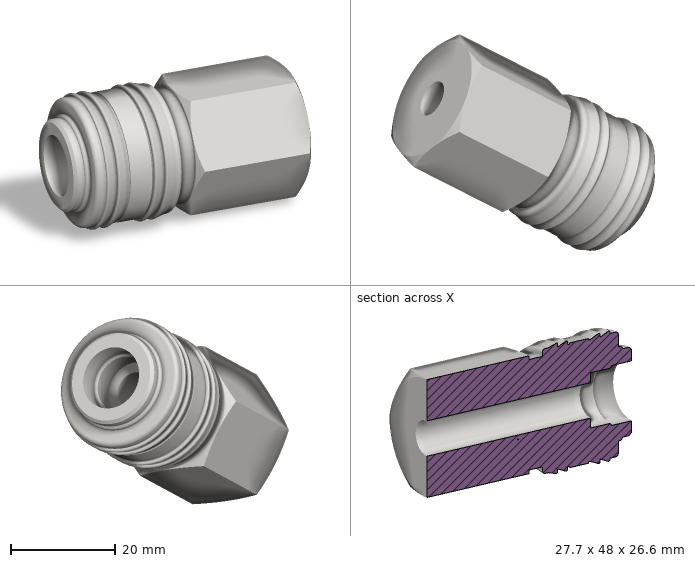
import cadquery as cq
import math

LENGTH = 48.0

HEX_FLATS = 24.0
HEX_LENGTH = 24.0
HEX_CHAMFER_ANGLE = 30.0
NECK_RADIUS = 11.3

NOSE_RADIUS = 9.0
NOSE_LENGTH = 2.1
NOSE_CHAMFER = 0.6
COLLAR_RADIUS = 9.6
COLLAR_ROUND = 0.6

SLEEVE_START = 3.0
SLEEVE_END = 21.0
SLEEVE_RADIUS = 12.7
SLEEVE_ROUND = 0.75

RIDGE_RADIUS = 13.3
RIDGE_ROOT_RADIUS = 12.45
RIDGE_PITCH = 2.3
RIDGE_CREST_ROUND = 0.35
FRONT_PAIR_START = 5.05
REAR_PAIR_START = 15.0
GROOVE_WIDTH = 0.45

PLUG_RADIUS = 6.05
PLUG_DEPTH = 4.6
INNER_PLUG_RADIUS = 5.55
SEAT_LENGTH = 0.45
INNER_PLUG_DEPTH = 9.6
THROUGH_RADIUS = 3.55


def revolve_about_y(profile):
    """Close a radius/Y outline and spin it round the Y axis."""
    return profile.close().revolve(360, (0, 0, 0), (0, 1, 0))


def cylinder(radius, start, end):
    plane = cq.Plane(origin=(0, start, 0), xDir=(1, 0, 0), normal=(0, 1, 0))
    return cq.Workplane(plane).circle(radius).extrude(end - start)


def ridge(start, tail_radius):
    """Ring with a flat front face, a rounded crest and a tapered tail."""
    end = start + RIDGE_PITCH
    return revolve_about_y(
        cq.Workplane("XY")
        .moveTo(0, start)
        .lineTo(RIDGE_RADIUS - RIDGE_CREST_ROUND, start)
        .radiusArc((RIDGE_RADIUS, start + RIDGE_CREST_ROUND), -RIDGE_CREST_ROUND)
        .lineTo(tail_radius, end)
        .lineTo(0, end)
    )


def make_nose():
    nose = cylinder(NOSE_RADIUS, 0, SLEEVE_START).faces("<Y").chamfer(NOSE_CHAMFER)
    collar = cylinder(COLLAR_RADIUS, NOSE_LENGTH, SLEEVE_START)
    return nose.union(collar.faces("<Y").edges().fillet(COLLAR_ROUND))


def make_sleeve():
    front_pair_end = FRONT_PAIR_START + 2 * RIDGE_PITCH
    rear_pair_end = REAR_PAIR_START + 2 * RIDGE_PITCH
    front_band = cylinder(SLEEVE_RADIUS, SLEEVE_START, FRONT_PAIR_START)
    middle_band = cylinder(
        SLEEVE_RADIUS, front_pair_end + GROOVE_WIDTH, REAR_PAIR_START - GROOVE_WIDTH
    )
    rear_band = cylinder(SLEEVE_RADIUS, rear_pair_end, SLEEVE_END)

    sleeve = cylinder(RIDGE_ROOT_RADIUS, FRONT_PAIR_START, rear_pair_end)
    sleeve = sleeve.union(front_band.faces("<Y").edges().fillet(SLEEVE_ROUND))
    sleeve = sleeve.union(middle_band)
    sleeve = sleeve.union(rear_band.faces(">Y").edges().fillet(SLEEVE_ROUND))

    for pair_start, last_tail_radius in (
        (FRONT_PAIR_START, RIDGE_ROOT_RADIUS),
        (REAR_PAIR_START, SLEEVE_RADIUS),
    ):
        sleeve = sleeve.union(ridge(pair_start, RIDGE_ROOT_RADIUS))
        sleeve = sleeve.union(ridge(pair_start + RIDGE_PITCH, last_tail_radius))
    return sleeve


def make_hexagon():
    """Hexagon with corners on X, turned down at both ends to the flats circle."""
    start = LENGTH - HEX_LENGTH
    corner_radius = HEX_FLATS / math.sqrt(3)
    flat_radius = HEX_FLATS / 2
    chamfer_length = (corner_radius - flat_radius) * math.tan(math.radians(HEX_CHAMFER_ANGLE))
    plane = cq.Plane(origin=(0, start, 0), xDir=(1, 0, 0), normal=(0, 1, 0))
    prism = cq.Workplane(plane).polygon(6, 2 * corner_radius).extrude(HEX_LENGTH)
    turned_blank = revolve_about_y(
        cq.Workplane("XY")
        .moveTo(0, start)
        .lineTo(flat_radius, start)
        .lineTo(corner_radius, start + chamfer_length)
        .lineTo(corner_radius, LENGTH - chamfer_length)
        .lineTo(flat_radius, LENGTH)
        .lineTo(0, LENGTH)
    )
    return prism.intersect(turned_blank)


def make_bore():
    """Plug socket with a conical seat, followed by the through passage."""
    return revolve_about_y(
        cq.Workplane("XY")
        .moveTo(0, 0)
        .lineTo(PLUG_RADIUS, 0)
        .lineTo(PLUG_RADIUS, PLUG_DEPTH)
        .lineTo(INNER_PLUG_RADIUS, PLUG_DEPTH + SEAT_LENGTH)
        .lineTo(INNER_PLUG_RADIUS, INNER_PLUG_DEPTH)
        .lineTo(THROUGH_RADIUS, INNER_PLUG_DEPTH)
        .lineTo(THROUGH_RADIUS, LENGTH)
        .lineTo(0, LENGTH)
    )


neck = cylinder(NECK_RADIUS, SLEEVE_START, LENGTH - HEX_LENGTH)
body = make_nose().union(make_sleeve()).union(neck).union(make_hexagon())
result = body.cut(make_bore())